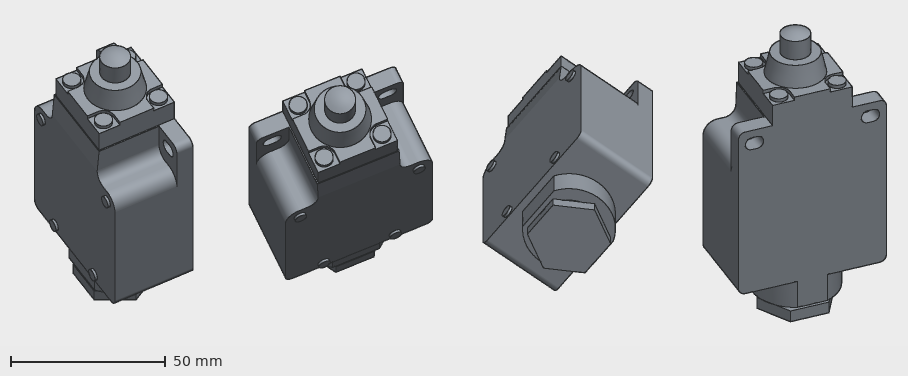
import cadquery as cq
import math


nut_top = 4.1
neck_top = 6.5
body_bottom = 16.4
cover_top = 69.6
body_top = 78.4
head_top = 87.4
boot_top = 95.1
plunger_edge = 102.1
plunger_top = 103.4

head_size = 28.0
back_y = head_size / 2
head_notch_inner = 6.3
head_notch_depth = 1.2
head_screw_offset = 10.2
head_screw_diameter = 5.9

boot_base_diameter = 20.3
boot_top_diameter = 16.6
plunger_diameter = 10.0

body_width = 52.0
body_depth = 29.0
body_front = back_y - body_depth
tower_width = 28.9
tower_setback = 0.7
corner_radius = 2.5
ear_thickness = 6.0
shoulder_top = 65.6
shoulder_radius = 5.1
shoulder_blend = cover_top - shoulder_top

slot_length = 6.4
slot_height = 4.5
slot_offset = 20.4
slot_level = 73.4

cover_screws = [(21.0, 61.4), (12.6, 19.2)]
cover_screw_diameter = 4.0
cover_screw_height = 0.9

gland_radius = 15.0
gland_front = 12.5
neck_diameter = 21.5
nut_across_flats = 23.5


def box_between(x_range, y_range, z_range):
    size = [high - low for low, high in (x_range, y_range, z_range)]
    return cq.Workplane("XY").box(*size, centered=False).translate((x_range[0], y_range[0], z_range[0]))


def make_back_plate():
    """Rounded plate along the mounting face whose upper corners are the slotted ears."""
    plate = box_between(
        (-body_width / 2, body_width / 2), (back_y - ear_thickness, back_y), (body_bottom, body_top)
    )
    plate = plate.edges("|Y").fillet(corner_radius)
    slots = (
        cq.Workplane("XZ", origin=(0, back_y, 0))
        .pushPoints([(-slot_offset, slot_level), (slot_offset, slot_level)])
        .slot2D(slot_length, slot_height)
        .extrude(ear_thickness)
    )
    return plate.cut(slots)


def make_housing():
    """Full-depth housing with S-shaped shoulders rising to a central tower."""
    side = body_width / 2
    tower = tower_width / 2
    diagonal = math.sqrt(0.5)
    shoulder_end = side - shoulder_radius
    shoulder_center = shoulder_top - shoulder_radius
    blend_start = tower + shoulder_blend
    outer_mid = (shoulder_end + shoulder_radius * diagonal, shoulder_center + shoulder_radius * diagonal)
    inner_mid = (blend_start - shoulder_blend * diagonal, cover_top - shoulder_blend * diagonal)
    housing = (
        cq.Workplane("XZ", origin=(0, back_y, 0))
        .moveTo(-side, body_bottom)
        .lineTo(side, body_bottom)
        .lineTo(side, shoulder_center)
        .threePointArc(outer_mid, (shoulder_end, shoulder_top))
        .lineTo(blend_start, shoulder_top)
        .threePointArc(inner_mid, (tower, cover_top))
        .lineTo(tower, body_top)
        .lineTo(-tower, body_top)
        .lineTo(-tower, cover_top)
        .threePointArc((-inner_mid[0], inner_mid[1]), (-blend_start, shoulder_top))
        .lineTo(-shoulder_end, shoulder_top)
        .threePointArc((-outer_mid[0], outer_mid[1]), (-side, shoulder_center))
        .close()
        .extrude(body_depth)
    )
    housing = housing.edges("|Y and <Z").fillet(corner_radius)
    lean = (
        cq.Workplane("YZ", origin=(-tower, 0, 0))
        .moveTo(body_front, cover_top)
        .lineTo(body_front + tower_setback, body_top)
        .lineTo(body_front, body_top)
        .close()
        .extrude(tower_width)
    )
    return housing.cut(lean)


def make_cover_screws():
    points = [(side * x, z) for x, z in cover_screws for side in (-1, 1)]
    return (
        cq.Workplane("XZ", origin=(0, body_front, 0))
        .pushPoints(points)
        .circle(cover_screw_diameter / 2)
        .extrude(cover_screw_height)
    )


def make_head():
    """Square head with a sunken screw in each corner."""
    half = head_size / 2
    notch_floor = head_top - head_notch_depth
    head = box_between((-half, half), (-half, half), (body_top, head_top))
    notch = box_between((head_notch_inner, half), (head_notch_inner, half), (notch_floor, head_top))
    notch = notch.edges("|Z and <X and <Y").fillet(head_screw_offset - head_notch_inner)
    for corner in range(4):
        head = head.cut(notch.rotate((0, 0, 0), (0, 0, 1), 90 * corner))
    screws = (
        cq.Workplane("XY", origin=(0, 0, notch_floor))
        .rect(2 * head_screw_offset, 2 * head_screw_offset, forConstruction=True)
        .vertices()
        .circle(head_screw_diameter / 2)
        .extrude(head_notch_depth)
    )
    return head.union(screws)


def make_boot_and_plunger():
    """Tapered boot and a plunger with a shallow domed tip."""
    plunger_radius = plunger_diameter / 2
    dome_rise = plunger_top - plunger_edge
    dome_radius = (plunger_radius**2 + dome_rise**2) / (2 * dome_rise)
    mid_x = plunger_radius / 2
    mid_z = plunger_top - dome_radius + math.sqrt(dome_radius**2 - mid_x**2)
    return (
        cq.Workplane("XZ")
        .moveTo(0, head_top)
        .lineTo(boot_base_diameter / 2, head_top)
        .lineTo(boot_top_diameter / 2, boot_top)
        .lineTo(plunger_radius, boot_top)
        .lineTo(plunger_radius, plunger_edge)
        .threePointArc((mid_x, mid_z), (0, plunger_top))
        .close()
        .revolve(360, (0, 0, 0), (0, 1, 0))
    )


def make_gland():
    """Cable outlet flattened at front and back, with a neck and a hexagonal nut below it."""
    outlet = cq.Workplane("XY", origin=(0, 0, neck_top)).circle(gland_radius).extrude(body_bottom - neck_top)
    outlet = outlet.intersect(
        box_between((-gland_radius, gland_radius), (-gland_front, back_y), (neck_top, body_bottom))
    )
    neck = cq.Workplane("XY", origin=(0, 0, nut_top)).circle(neck_diameter / 2).extrude(neck_top - nut_top)
    nut_across_corners = nut_across_flats / math.cos(math.pi / 6)
    nut = cq.Workplane("XY").polygon(6, nut_across_corners).extrude(nut_top)
    return outlet.union(neck).union(nut)


result = (
    make_housing()
    .union(make_back_plate())
    .union(make_cover_screws())
    .union(make_head())
    .union(make_boot_and_plunger())
    .union(make_gland())
)